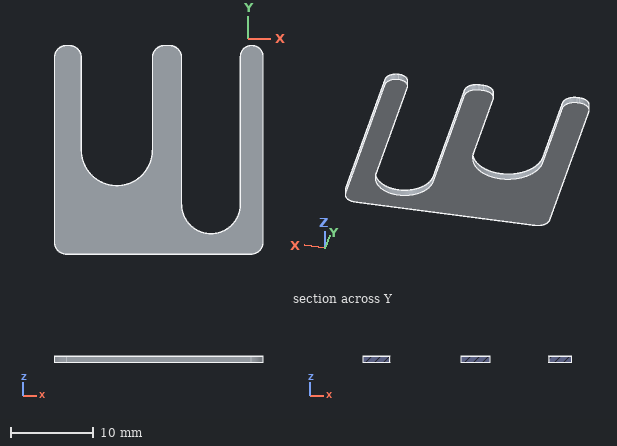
import cadquery as cq

side = 25.4
thickness = 0.81
corner_radius = 1.5

left_finger_width = 3.3
wide_slot_width = 8.6
wide_slot_floor = 8.35
middle_finger_width = 3.58
narrow_slot_width = 7.1
narrow_slot_floor = 2.51
wide_slot_start = left_finger_width
narrow_slot_start = wide_slot_start + wide_slot_width + middle_finger_width
right_finger_width = side - narrow_slot_start - narrow_slot_width

right_tip_radius = 1.37


def round_ended_slot(start, width, floor):
    """Cutter for a slot open at the back edge, with a semicircular floor."""
    radius = width / 2
    return (
        cq.Workplane("XY")
        .moveTo(start, side)
        .lineTo(start, floor + radius)
        .threePointArc((start + radius, floor), (start + width, floor + radius))
        .lineTo(start + width, side)
        .close()
        .extrude(thickness)
    )


def round_tip(body, start, width, radius):
    """Round both upright edges at the tip of one finger."""
    for x in (start, start + width):
        tip_edge = cq.selectors.NearestToPointSelector((x, side, thickness / 2))
        body = body.edges("|Z").edges(tip_edge).fillet(radius)
    return body


plate = cq.Workplane("XY").box(side, side, thickness, centered=False)
plate = plate.edges("|Z and <Y").fillet(corner_radius)
plate = plate.cut(round_ended_slot(wide_slot_start, wide_slot_width, wide_slot_floor))
plate = plate.cut(round_ended_slot(narrow_slot_start, narrow_slot_width, narrow_slot_floor))

middle_finger_start = wide_slot_start + wide_slot_width
right_finger_start = narrow_slot_start + narrow_slot_width
plate = round_tip(plate, 0, left_finger_width, corner_radius)
plate = round_tip(plate, middle_finger_start, middle_finger_width, corner_radius)
plate = round_tip(plate, right_finger_start, right_finger_width, right_tip_radius)

result = plate.translate((-side / 2, -side / 2, -thickness / 2))